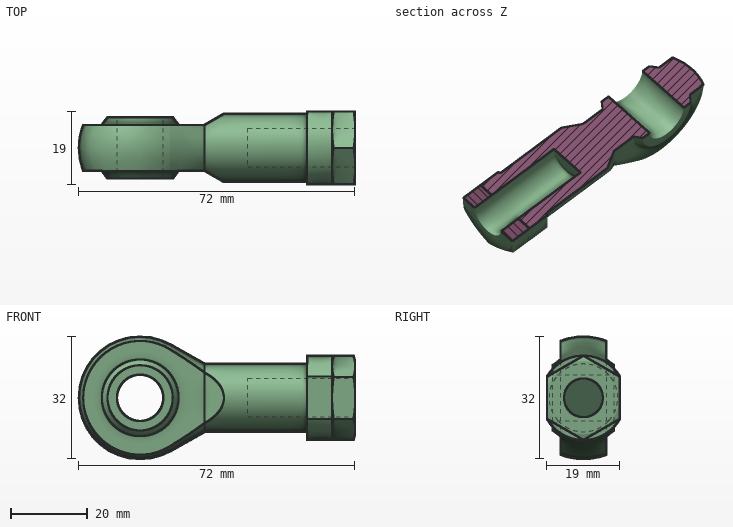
import cadquery as cq
import math


eye_radius = 16.0
eye_width = 12.0
pin_bore_diameter = 12.0
boss_width = 16.0
boss_base_diameter = 20.0
boss_face_diameter = 17.0

shank_diameter = 17.78
shank_radius = shank_diameter / 2
neck_end = 16.8
slope_angle = math.radians(30)
housing_end = 50.0
collar_length = 6.5
collar_diameter = 22.0
wrench_size = 19.0

nut_height = 6.0
nut_face_diameter = wrench_size
nut_chamfer_angle = math.radians(15)

thread_bore_diameter = 10.11
thread_bore_depth = 22.0

neck_end_distance = math.hypot(neck_end, shank_radius)
neck_end_bearing = math.atan2(neck_end, shank_radius)
neck_taper_angle = neck_end_bearing - math.acos(eye_radius / neck_end_distance)
tangent_x = eye_radius * math.sin(neck_taper_angle)
tangent_radius = eye_radius * math.cos(neck_taper_angle)

slope_end = neck_end + (shank_radius - eye_width / 2) / math.tan(slope_angle)


def rod_body():
    """Spherical eye, conical neck and shank, turned about the rod axis."""
    arc_middle = math.radians(45)
    return (
        cq.Workplane("XY")
        .moveTo(-eye_radius, 0)
        .threePointArc(
            (-eye_radius * math.cos(arc_middle), eye_radius * math.sin(arc_middle)),
            (0, eye_radius),
        )
        .threePointArc(
            (
                eye_radius * math.sin(neck_taper_angle / 2),
                eye_radius * math.cos(neck_taper_angle / 2),
            ),
            (tangent_x, tangent_radius),
        )
        .lineTo(neck_end, shank_radius)
        .lineTo(housing_end, shank_radius)
        .lineTo(housing_end, 0)
        .close()
        .revolve(360, (0, 0, 0), (1, 0, 0))
    )


def side_envelope():
    """Prism that flattens both sides of the eye and slopes out to the shank."""
    half_eye = eye_width / 2
    return (
        cq.Workplane("XY")
        .moveTo(-eye_radius, -half_eye)
        .lineTo(neck_end, -half_eye)
        .lineTo(slope_end, -shank_radius)
        .lineTo(housing_end, -shank_radius)
        .lineTo(housing_end, shank_radius)
        .lineTo(slope_end, shank_radius)
        .lineTo(neck_end, half_eye)
        .lineTo(-eye_radius, half_eye)
        .close()
        .extrude(eye_radius, both=True)
    )


def eye_bosses():
    """Solid core of the eye, with a conical boss standing out on each side."""
    return (
        cq.Workplane("XY")
        .moveTo(0, -boss_width / 2)
        .lineTo(boss_face_diameter / 2, -boss_width / 2)
        .lineTo(boss_base_diameter / 2, -eye_width / 2)
        .lineTo(boss_base_diameter / 2, eye_width / 2)
        .lineTo(boss_face_diameter / 2, boss_width / 2)
        .lineTo(0, boss_width / 2)
        .close()
        .revolve(360, (0, 0, 0), (0, 1, 0))
    )


def collar():
    """Round collar with two wrench flats facing -Y and +Y."""
    collar_start = housing_end - collar_length
    disc = (
        cq.Workplane("YZ", origin=(collar_start, 0, 0))
        .circle(collar_diameter / 2)
        .extrude(collar_length)
    )
    flats = (
        cq.Workplane("YZ", origin=(collar_start, 0, 0))
        .rect(wrench_size, collar_diameter)
        .extrude(collar_length)
    )
    return disc.intersect(flats)


def make_housing():
    pin_bore = cq.Workplane("XZ").circle(pin_bore_diameter / 2).extrude(boss_width, both=True)
    thread_bore = (
        cq.Workplane("YZ", origin=(housing_end - thread_bore_depth, 0, 0))
        .circle(thread_bore_diameter / 2)
        .extrude(thread_bore_depth)
    )
    return (
        rod_body()
        .intersect(side_envelope())
        .union(eye_bosses())
        .union(collar())
        .cut(pin_bore)
        .cut(thread_bore)
    )


def make_nut():
    """Hexagon lock nut against the collar, with corners chamfered at both ends."""
    corner_radius = wrench_size / math.sqrt(3)
    face_radius = nut_face_diameter / 2
    chamfer_length = (corner_radius - face_radius) * math.tan(nut_chamfer_angle)
    nut_end = housing_end + nut_height
    hexagon = (
        cq.Workplane("YZ", origin=(housing_end, 0, 0))
        .transformed(rotate=(0, 0, 90))
        .polygon(6, 2 * corner_radius)
        .extrude(nut_height)
    )
    chamfer_envelope = (
        cq.Workplane("XY")
        .moveTo(housing_end, 0)
        .lineTo(housing_end, face_radius)
        .lineTo(housing_end + chamfer_length, corner_radius)
        .lineTo(nut_end - chamfer_length, corner_radius)
        .lineTo(nut_end, face_radius)
        .lineTo(nut_end, 0)
        .close()
        .revolve(360, (0, 0, 0), (1, 0, 0))
    )
    thread_bore = (
        cq.Workplane("YZ", origin=(housing_end, 0, 0))
        .circle(thread_bore_diameter / 2)
        .extrude(nut_height)
    )
    return hexagon.intersect(chamfer_envelope).cut(thread_bore)


housing = make_housing()
lock_nut = make_nut()

result = cq.Compound.makeCompound([housing.val(), lock_nut.val()])